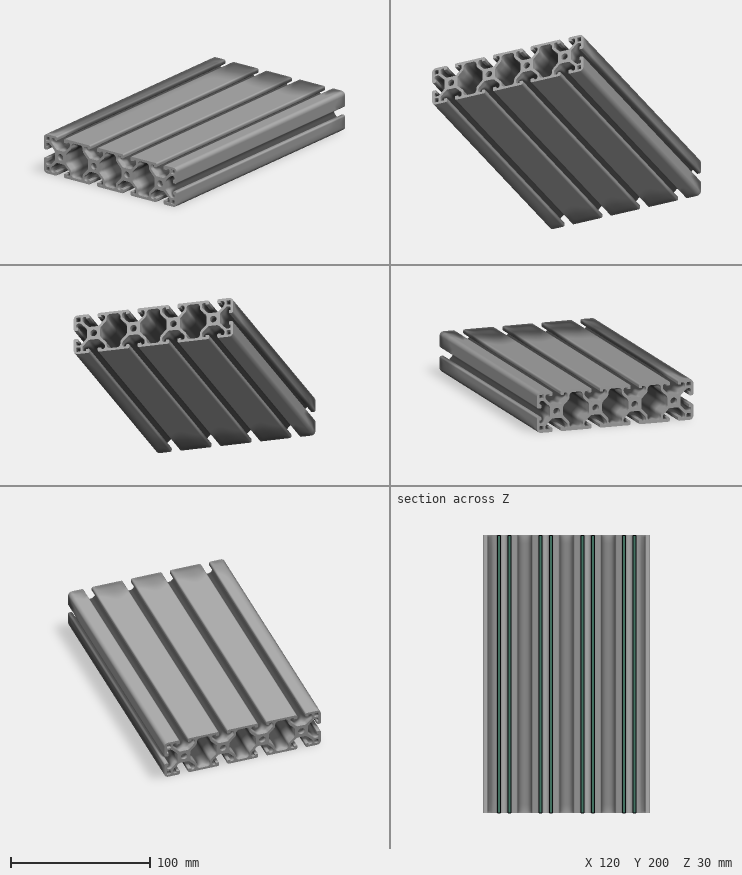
import cadquery as cq
import math

cell = 30.0
cell_count = 4
length = 200.0
width = cell * cell_count
height = cell
half_cell = cell / 2
corner_radius = 3.0

core_half = 5.0
core_fillet = 2.5
bore_diameter = 5.0
web_thickness = 2.0
web_offset = web_thickness / math.sqrt(2)

skin_thickness = 1.8
inner_face = half_cell - skin_thickness
slot_width = 17.0
slot_wall = slot_width / 2
chamber_width = 10.2
chamber_wall = half_cell - chamber_width / 2
slot_bend_radius = 2.5
slot_corner_radius = 1.5
chamber_bend_radius = 3.2
chamber_corner_radius = 2.5
square_corner_radius = 0.5

mouth_width = 6.2
mouth_half = mouth_width / 2
lip_outer = 5.5
lip_bottom = 11.8
lip_outer_radius = 1.2
lip_inner_radius = 0.5


def prism(points):
    """Closed XZ outline, extruded over the full length toward +Y."""
    return cq.Workplane("XZ").polyline(points).close().extrude(-length)


def mirrored(half_points):
    """Outline symmetric about X = 0 from the points of its +X half."""
    return half_points + [(-x, z) for x, z in reversed(half_points)]


def round_edge(body, x, z, radius):
    """Round the lengthwise edge at (x, z)."""
    picker = cq.selectors.NearestToPointSelector((x, length / 2, z))
    return body.edges("|Y").edges(picker).fillet(radius)


def round_edge_pair(body, x, z, radius):
    """Round the lengthwise edges at (x, z) and (-x, z)."""
    return round_edge(round_edge(body, x, z, radius), -x, z, radius)


def make_slot():
    """T-slot opening toward +Z, for a cell centred on the origin."""
    cavity = prism(mirrored([
        (core_half - web_offset, core_half),
        (slot_wall, slot_wall + web_offset),
        (slot_wall, inner_face),
    ]))
    cavity = round_edge_pair(cavity, core_half - web_offset, core_half, core_fillet)
    cavity = round_edge_pair(cavity, slot_wall, inner_face, slot_corner_radius)
    cavity = round_edge_pair(cavity, slot_wall, slot_wall + web_offset, slot_bend_radius)

    lip = prism([
        (mouth_half, lip_bottom),
        (lip_outer, lip_bottom),
        (lip_outer, half_cell),
        (mouth_half, half_cell),
    ])
    lip = round_edge(lip, mouth_half, half_cell, lip_outer_radius)
    lip = round_edge(lip, mouth_half, lip_bottom, lip_inner_radius)

    mouth = prism(mirrored([(lip_outer, lip_bottom), (lip_outer, half_cell)]))
    return cavity.union(mouth).cut(lip).cut(lip.mirror("YZ"))


def make_chamber():
    """Closed chamber between two cells, centred on the origin."""
    wall = chamber_width / 2
    bend_z = chamber_wall - web_offset
    core_side = half_cell - core_half
    core_z = core_half - web_offset
    upper = [(wall, inner_face), (wall, bend_z), (core_side, core_z)]
    lower = [(x, -z) for x, z in reversed(upper)]
    chamber = prism(mirrored(upper + lower))
    for side in (-1, 1):
        chamber = round_edge_pair(chamber, core_side, side * core_z, core_fillet)
        chamber = round_edge_pair(chamber, wall, side * bend_z, chamber_bend_radius)
        chamber = round_edge_pair(chamber, wall, side * inner_face, chamber_corner_radius)
    return chamber


def make_corner_channel():
    """Small square channel behind the +X +Z corner of a cell centred on the origin."""
    side = inner_face - chamber_wall
    middle = (inner_face + chamber_wall) / 2
    channel = cq.Workplane("XZ").center(middle, middle).rect(side, side).extrude(-length)
    return channel.edges("|Y").fillet(square_corner_radius)


def turned(body, angle):
    """Copy turned about the lengthwise axis; 90 degrees carries +Z to +X."""
    return body.rotate((0, 0, 0), (0, 1, 0), angle)


cell_centers = [(i - (cell_count - 1) / 2) * cell for i in range(cell_count)]
chamber_centers = [x + half_cell for x in cell_centers[:-1]]

result = cq.Workplane("XZ").rect(width, height).extrude(-length)
result = result.edges("|Y").fillet(corner_radius)

bore = cq.Workplane("XZ").circle(bore_diameter / 2).extrude(-length)
slot = make_slot()
for x in cell_centers:
    for cutter in (bore, slot, turned(slot, 180)):
        result = result.cut(cutter.translate((x, 0, 0)))

chamber = make_chamber()
for x in chamber_centers:
    result = result.cut(chamber.translate((x, 0, 0)))

channel = make_corner_channel()
for x, angle in ((cell_centers[-1], 90), (cell_centers[0], -90)):
    for cutter in (turned(slot, angle), turned(channel, angle), turned(channel, angle - 90)):
        result = result.cut(cutter.translate((x, 0, 0)))

result = result.translate((0, -length / 2, 0))